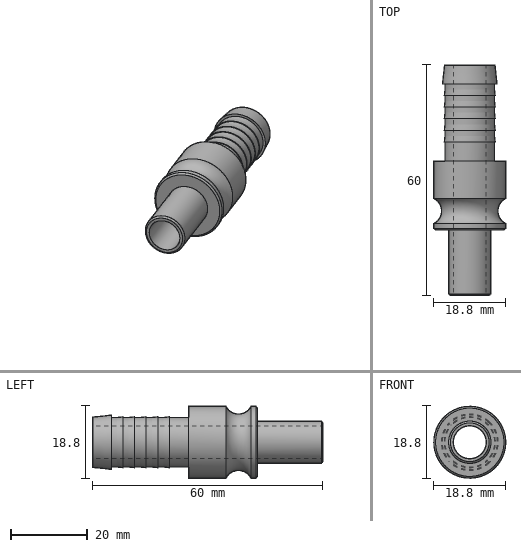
import cadquery as cq

total_length = 60.0
bore_radius = 4.25

head_length = 5.0
head_tip_radius = 6.6
head_rear_radius = 7.15
neck_radius = 6.5
rib_radius = 6.65
rib_count = 5
rib_pitch = 3.0
rib_length = rib_pitch / 2

collar_radius = 9.39
collar_start = 25.0
groove_start = 34.75
groove_end = 41.3
groove_floor_radius = 7.4
flange_end = 42.95

spigot_radius = 5.5
chamfer_depth = 0.5
chamfer_length = 0.4


def add_hose_tail(profile):
    """Draw the head and ribs, ending at the face of the collar."""
    profile = (
        profile.lineTo(head_tip_radius, 0)
        .lineTo(head_rear_radius, head_length)
        .lineTo(neck_radius, head_length)
    )
    for rib in range(rib_count):
        rib_end = head_length + (rib + 1) * rib_pitch
        profile = (
            profile.lineTo(neck_radius, rib_end - rib_length)
            .lineTo(rib_radius, rib_end)
            .lineTo(neck_radius, rib_end)
        )
    return profile.lineTo(neck_radius, collar_start)


def add_collar(profile):
    """Draw the collar, its groove and the chamfered flange."""
    groove_middle = (groove_start + groove_end) / 2
    return (
        profile.lineTo(collar_radius, collar_start)
        .lineTo(collar_radius, groove_start)
        .threePointArc((groove_floor_radius, groove_middle), (collar_radius, groove_end))
        .lineTo(collar_radius, flange_end - chamfer_length)
        .lineTo(collar_radius - chamfer_depth, flange_end)
    )


def add_spigot(profile):
    """Draw the plain spigot with its chamfered tip."""
    return (
        profile.lineTo(spigot_radius, flange_end)
        .lineTo(spigot_radius, total_length - chamfer_length)
        .lineTo(spigot_radius - chamfer_depth, total_length)
        .lineTo(bore_radius, total_length)
    )


profile = cq.Workplane("XY").moveTo(bore_radius, 0)
profile = add_hose_tail(profile)
profile = add_collar(profile)
profile = add_spigot(profile)
connector = profile.close().revolve(360, (0, 0, 0), (0, 1, 0))

result = connector.rotate((0, 0, 0), (0, 0, 1), 180).translate((0, total_length / 2, 0))